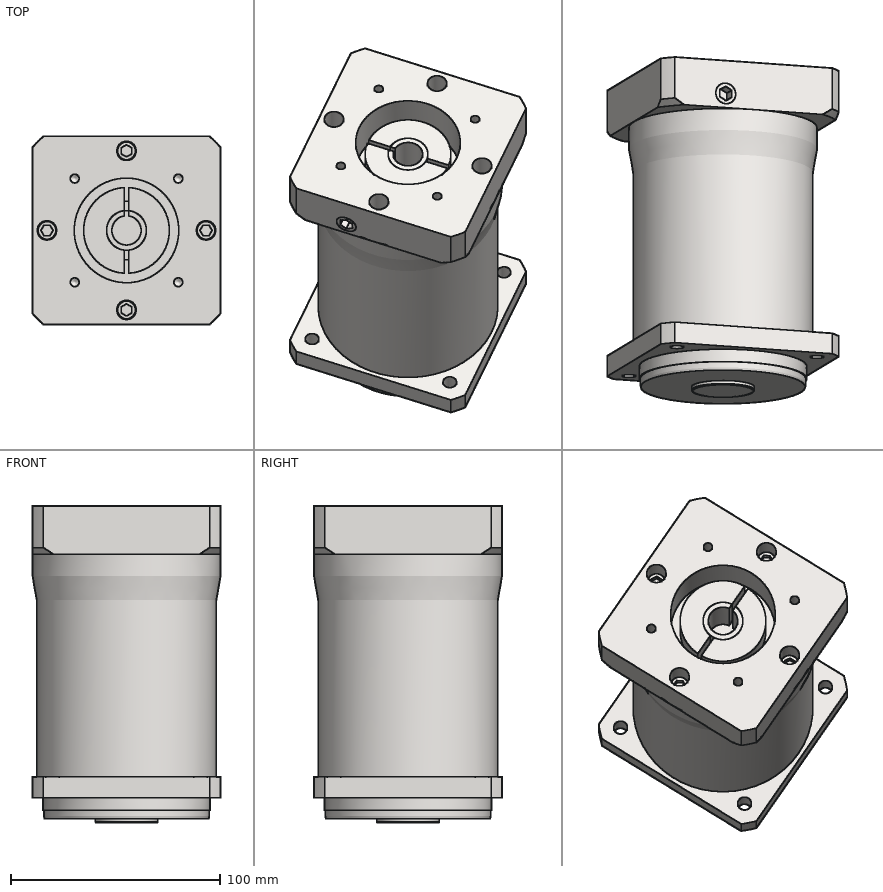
import cadquery as cq
import math

TOTAL_HEIGHT = 151.5
PILOT_BOTTOM = 2.0
PILOT_TAPER_TOP = 3.2
PILOT_STEP = 6.0
FLANGE_BOTTOM = 12.0
FLANGE_TOP = 22.0
CONE_BOTTOM = 106.5
CONE_TOP = 118.0
ADAPTER_HEIGHT = 23.0
ADAPTER_BOTTOM = TOTAL_HEIGHT - ADAPTER_HEIGHT

PLATE_WIDTH = 90.0
PLATE_CORNER_DIAMETER = 120.0
ADAPTER_CORNER_CHAMFER = 3.0

OUTPUT_DISC_DIAMETER = 30.0
OUTPUT_DISC_CHAMFER = 0.5
PILOT_DIAMETER = 80.0
PILOT_NOSE_DIAMETER = 79.2
PILOT_TAPER = 0.3
BARREL_DIAMETER = 86.0
CONE_TOP_DIAMETER = 90.0
FLANGE_HOLE_DIAMETER = 6.5
FLANGE_HOLE_CIRCLE = 100.0

ADAPTER_BORE_DIAMETER = 50.0
MOTOR_HOLE_CIRCLE = 70.0
MOTOR_HOLE_DIAMETER = 4.2
MOTOR_HOLE_DEPTH = 15.0
DRILL_POINT_ANGLE = 118.0
SCREW_CIRCLE = 76.0
SCREW_POCKET_DIAMETER = 9.2
SCREW_POCKET_FLOOR = 6.0
SCREW_HEAD_DIAMETER = 8.5
SCREW_HEAD_HEIGHT = 5.0
SCREW_HEX_WIDTH = 5.0
SCREW_HEX_DEPTH = 3.0

HUB_DIAMETER = 41.0
HUB_TOP = TOTAL_HEIGHT - 9.2
SLEEVE_DIAMETER = 28.0
SLEEVE_LENGTH = 16.0
SLIT_WIDTH = 2.0
SLIT_DEPTH_IN_SLEEVE = 6.0
BUSHING_DIAMETER = 19.0
BUSHING_BORE_DIAMETER = 14.0
BUSHING_LENGTH = 24.0

PLUG_DIAMETER = 10.0
PLUG_LENGTH = 10.0
PLUG_OFFSET = 14.0
PLUG_HEIGHT = (ADAPTER_BOTTOM + HUB_TOP) / 2
PLUG_HEX_WIDTH = 6.0
PLUG_HEX_DEPTH = 7.0


def cylinder(diameter, bottom, top):
    return cq.Workplane("XY").workplane(offset=bottom).circle(diameter / 2).extrude(top - bottom)


def square_prism(bottom, top):
    return cq.Workplane("XY").workplane(offset=bottom).rect(PLATE_WIDTH, PLATE_WIDTH).extrude(top - bottom)


def hex_corner_diameter(width_across_flats):
    return width_across_flats / math.cos(math.pi / 6)


def slit(start, end, bottom, top):
    """Slot volume along Y, from start to end."""
    return (
        cq.Workplane("XY")
        .workplane(offset=bottom)
        .center(0, (start + end) / 2)
        .rect(SLIT_WIDTH, abs(end - start))
        .extrude(top - bottom)
    )


def make_housing():
    barrel_outline = [
        (0, FLANGE_BOTTOM),
        (BARREL_DIAMETER / 2, FLANGE_BOTTOM),
        (BARREL_DIAMETER / 2, CONE_BOTTOM),
        (CONE_TOP_DIAMETER / 2, CONE_TOP),
        (CONE_TOP_DIAMETER / 2, ADAPTER_BOTTOM),
        (0, ADAPTER_BOTTOM),
    ]
    barrel = cq.Workplane("XZ").polyline(barrel_outline).close().revolve(360, (0, 0), (0, 1))

    plate_disc = cylinder(PLATE_CORNER_DIAMETER, FLANGE_BOTTOM, FLANGE_TOP)
    flange_holes = (
        cq.Workplane("XY")
        .workplane(offset=FLANGE_BOTTOM)
        .polarArray(FLANGE_HOLE_CIRCLE / 2, 45, 360, 4)
        .circle(FLANGE_HOLE_DIAMETER / 2)
        .extrude(FLANGE_TOP - FLANGE_BOTTOM)
    )
    flange = square_prism(FLANGE_BOTTOM, FLANGE_TOP).intersect(plate_disc).cut(flange_holes)

    nose_radius = PILOT_NOSE_DIAMETER / 2
    pilot_outline = [
        (0, PILOT_BOTTOM),
        (nose_radius - PILOT_TAPER, PILOT_BOTTOM),
        (nose_radius, PILOT_TAPER_TOP),
        (nose_radius, PILOT_STEP),
        (PILOT_DIAMETER / 2, PILOT_STEP),
        (PILOT_DIAMETER / 2, FLANGE_BOTTOM),
        (0, FLANGE_BOTTOM),
    ]
    pilot = cq.Workplane("XZ").polyline(pilot_outline).close().revolve(360, (0, 0), (0, 1))

    output_disc = cylinder(OUTPUT_DISC_DIAMETER, 0, PILOT_BOTTOM).faces("<Z").chamfer(OUTPUT_DISC_CHAMFER)
    sleeve_hole = cylinder(SLEEVE_DIAMETER, ADAPTER_BOTTOM - SLEEVE_LENGTH, ADAPTER_BOTTOM)
    return barrel.union(flange).union(pilot).union(output_disc).cut(sleeve_hole)


def make_motor_hole():
    """Blind drilled hole volume with a pointed end, on the axis."""
    radius = MOTOR_HOLE_DIAMETER / 2
    floor = TOTAL_HEIGHT - MOTOR_HOLE_DEPTH
    point_length = radius / math.tan(math.radians(DRILL_POINT_ANGLE / 2))
    outline = [(0, TOTAL_HEIGHT), (radius, TOTAL_HEIGHT), (radius, floor), (0, floor - point_length)]
    return cq.Workplane("XZ").polyline(outline).close().revolve(360, (0, 0), (0, 1))


def make_screw_gap():
    """Volume removed around and inside one screw head, placed on the +X axis."""
    pocket_floor = ADAPTER_BOTTOM + SCREW_POCKET_FLOOR
    head_top = pocket_floor + SCREW_HEAD_HEIGHT
    pocket = cylinder(SCREW_POCKET_DIAMETER, pocket_floor, TOTAL_HEIGHT)
    head = cylinder(SCREW_HEAD_DIAMETER, pocket_floor, head_top)
    socket = (
        cq.Workplane("XY")
        .workplane(offset=head_top - SCREW_HEX_DEPTH)
        .polygon(6, hex_corner_diameter(SCREW_HEX_WIDTH))
        .extrude(SCREW_HEX_DEPTH)
    )
    return pocket.cut(head.cut(socket)).translate((SCREW_CIRCLE / 2, 0, 0))


def make_plug_blank():
    """Cylinder running into the adapter from its -X side."""
    return (
        cq.Workplane("YZ", origin=(-PLATE_WIDTH / 2, PLUG_OFFSET, PLUG_HEIGHT))
        .circle(PLUG_DIAMETER / 2)
        .extrude(PLUG_LENGTH)
    )


def make_adapter():
    plate_disc = cylinder(PLATE_CORNER_DIAMETER, ADAPTER_BOTTOM, TOTAL_HEIGHT)
    plate_disc = plate_disc.faces("<Z").chamfer(ADAPTER_CORNER_CHAMFER)
    adapter = square_prism(ADAPTER_BOTTOM, TOTAL_HEIGHT).intersect(plate_disc)
    adapter = adapter.cut(cylinder(ADAPTER_BORE_DIAMETER, ADAPTER_BOTTOM, TOTAL_HEIGHT))
    motor_hole = make_motor_hole().translate((MOTOR_HOLE_CIRCLE / 2, 0, 0))
    screw_gap = make_screw_gap()
    for quarter_turn in (0, 90, 180, 270):
        adapter = adapter.cut(motor_hole.rotate((0, 0, 0), (0, 0, 1), quarter_turn + 45))
        adapter = adapter.cut(screw_gap.rotate((0, 0, 0), (0, 0, 1), quarter_turn))
    return adapter.cut(make_plug_blank())


def make_hub():
    collar = cylinder(HUB_DIAMETER, ADAPTER_BOTTOM, HUB_TOP)
    sleeve = cylinder(SLEEVE_DIAMETER, ADAPTER_BOTTOM - SLEEVE_LENGTH, ADAPTER_BOTTOM)
    hub = collar.union(sleeve)
    hub = hub.cut(slit(-HUB_DIAMETER / 2, HUB_DIAMETER / 2, ADAPTER_BOTTOM - SLIT_DEPTH_IN_SLEEVE, HUB_TOP))
    return hub.cut(cylinder(BUSHING_DIAMETER, HUB_TOP - BUSHING_LENGTH, HUB_TOP))


def make_bushing():
    bottom = HUB_TOP - BUSHING_LENGTH
    bushing = cylinder(BUSHING_DIAMETER, bottom, HUB_TOP)
    bushing = bushing.cut(cylinder(BUSHING_BORE_DIAMETER, bottom, HUB_TOP))
    return bushing.cut(slit(0, BUSHING_DIAMETER / 2, bottom, HUB_TOP))


def make_plug():
    socket = (
        cq.Workplane("YZ", origin=(-PLATE_WIDTH / 2, PLUG_OFFSET, PLUG_HEIGHT))
        .transformed(rotate=(0, 0, 90))
        .polygon(6, hex_corner_diameter(PLUG_HEX_WIDTH))
        .extrude(PLUG_HEX_DEPTH)
    )
    return make_plug_blank().cut(socket)


housing = make_housing()
adapter = make_adapter()
hub = make_hub()
bushing = make_bushing()
plug = make_plug()

result = cq.Compound.makeCompound(
    [housing.val(), adapter.val(), hub.val(), bushing.val(), plug.val()]
)